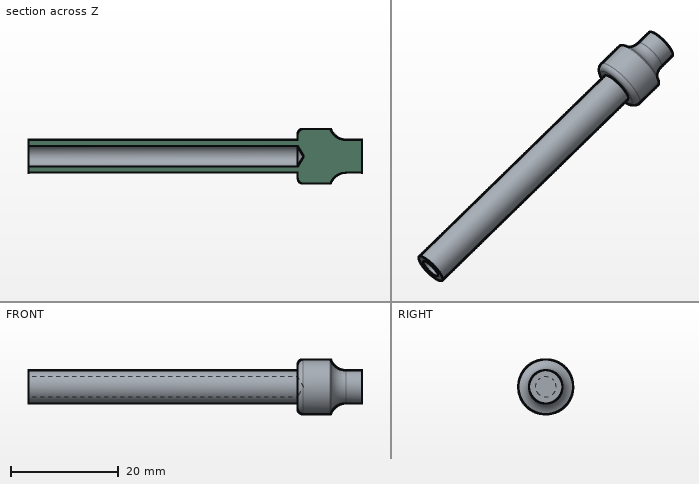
import cadquery as cq
import math

total_length = 62.0
shaft_diameter = 6.2
collar_diameter = 10.2
collar_start = 50.0
collar_fillet = 1.05
tip_length = 3.05
cove_radius = 3.0
rim_fillet = 0.2
bore_diameter = 3.8
bore_depth = collar_start
drill_point_angle = 118.0

shaft_radius = shaft_diameter / 2
collar_radius = collar_diameter / 2
bore_radius = bore_diameter / 2

back_x = -total_length / 2
front_x = total_length / 2
collar_x = back_x + collar_start
cove_end_x = front_x - tip_length


def cove_point(radius):
    """Point at the given radius on the concave arc that runs out tangent to the tip."""
    height_below_centre = shaft_radius + cove_radius - radius
    reach = math.sqrt(cove_radius**2 - height_below_centre**2)
    return (cove_end_x - reach, radius)


def round_collar_edge(body, edge_x, fillet_radius):
    """Fillet the circular edge of collar diameter that lies at edge_x."""
    seam_point = (edge_x, collar_radius, 0)
    edge = body.faces("%CYLINDER").edges("%CIRCLE").filter(
        lambda e: (e.startPoint() - cq.Vector(*seam_point)).Length < rim_fillet
    )
    return edge.fillet(fillet_radius)


def make_body():
    """Shaft, collar with a concave neck, and tip revolved as one profile."""
    middle_radius = (shaft_radius + collar_radius) / 2
    profile = (
        cq.Workplane("XY")
        .moveTo(back_x, 0)
        .lineTo(back_x, shaft_radius)
        .lineTo(collar_x, shaft_radius)
        .lineTo(collar_x, collar_radius)
        .lineTo(*cove_point(collar_radius))
        .threePointArc(cove_point(middle_radius), (cove_end_x, shaft_radius))
        .lineTo(front_x, shaft_radius)
        .lineTo(front_x, 0)
        .close()
    )
    body = profile.revolve(360, (0, 0, 0), (1, 0, 0))
    rim_x = cove_point(collar_radius)[0]
    body = round_collar_edge(body, collar_x, collar_fillet)
    return round_collar_edge(body, rim_x, rim_fillet)


def make_bore():
    """Blind bore from the shaft end, closed by a conical drill point."""
    point_length = bore_radius / math.tan(math.radians(drill_point_angle / 2))
    bore_end_x = back_x + bore_depth
    return (
        cq.Workplane("XY")
        .moveTo(back_x, 0)
        .lineTo(back_x, bore_radius)
        .lineTo(bore_end_x, bore_radius)
        .lineTo(bore_end_x + point_length, 0)
        .close()
        .revolve(360, (0, 0, 0), (1, 0, 0))
    )


result = make_body().cut(make_bore())